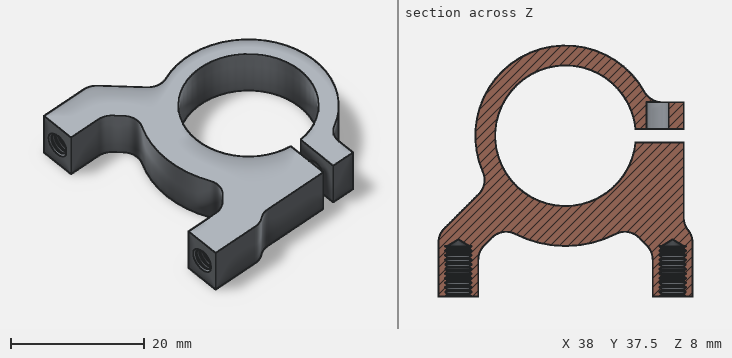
import cadquery as cq
import math

width = 38.0
thickness = 8.0
bore_radius = 10.5
ring_radius = 13.5
belly_radius = 16.5
foot_y = -24.0
leg_width = 6.0
blend_radius = 3.0
ear_end_x = 17.67
ear_top_y = 5.0
gap = 1.98

thread_minor = 3.3
thread_major = 4.0
thread_pitch = 0.7
thread_crest = thread_pitch / 4
thread_turns = 11
drill_tip_angle = 118.0

screw_diameter = 3.3
screw_x = 13.75

half_width = width / 2
half_leg = leg_width / 2
leg_inner_x = half_width - leg_width
leg_center_x = half_width - half_leg
mid_z = thickness / 2
strut_offset = half_leg * math.sqrt(2)
bend_length = blend_radius * math.tan(math.radians(22.5))


def polar(center, radius, angle):
    a = math.radians(angle)
    return (center[0] + radius * math.cos(a), center[1] + radius * math.sin(a))


def add_arc(path, center, radius, start, end):
    """Line to the start of an arc, then the arc itself; angles in degrees."""
    return path.lineTo(*polar(center, radius, start)).threePointArc(
        polar(center, radius, (start + end) / 2), polar(center, radius, end)
    )


def strut_blend(ring, offset):
    """Center of the blend between a left strut side and a concentric arc, and its polar angle."""
    reach = ring + blend_radius
    angle = 225 - math.degrees(math.asin(offset / reach))
    return polar((0, 0), reach, angle), angle


def body():
    origin = (0, 0)
    shoulder_y = -half_width + strut_offset - bend_length
    inner_bend_y = -leg_inner_x - strut_offset - bend_length
    shoulder = (-leg_center_x, shoulder_y)
    neck, neck_angle = strut_blend(ring_radius, half_leg + blend_radius)
    armpit, armpit_angle = strut_blend(belly_radius, -half_leg - blend_radius)

    ear_blend_y = ear_top_y + blend_radius
    ear_angle = math.degrees(math.asin(ear_blend_y / (ring_radius + blend_radius)))
    ear_blend = polar(origin, ring_radius + blend_radius, ear_angle)

    step = half_width - ear_end_x
    step_angle = math.degrees(math.acos(1 - step / (2 * blend_radius)))
    step_height = 2 * blend_radius * math.sin(math.radians(step_angle))
    step_hollow = (ear_end_x + blend_radius, shoulder_y + step_height)

    path = cq.Workplane("XY").moveTo(-half_width, foot_y)
    path = add_arc(path, shoulder, blend_radius, 180, 135)
    path = add_arc(path, neck, blend_radius, -45, neck_angle - 180)
    path = path.threePointArc(
        polar(origin, ring_radius, (neck_angle + ear_angle) / 2),
        polar(origin, ring_radius, ear_angle),
    )
    path = path.threePointArc(
        polar(ear_blend, blend_radius, (ear_angle + 450) / 2),
        (ear_blend[0], ear_top_y),
    )
    path = path.lineTo(ear_end_x, ear_top_y)
    path = path.lineTo(*polar(step_hollow, blend_radius, 180))
    path = path.threePointArc(
        polar(step_hollow, blend_radius, 180 + step_angle / 2),
        polar(step_hollow, blend_radius, 180 + step_angle),
    )
    path = path.threePointArc(
        polar((leg_center_x, shoulder_y), blend_radius, step_angle / 2),
        (half_width, shoulder_y),
    )
    path = path.lineTo(half_width, foot_y).lineTo(leg_inner_x, foot_y)

    inner_bend_x = leg_inner_x - blend_radius
    right_armpit = (-armpit[0], armpit[1])
    path = add_arc(path, (inner_bend_x, inner_bend_y), blend_radius, 0, 45)
    path = add_arc(path, right_armpit, blend_radius, 45, 360 - armpit_angle)
    path = path.threePointArc((0, -belly_radius), polar(origin, belly_radius, armpit_angle))
    path = path.threePointArc(
        polar(armpit, blend_radius, (armpit_angle - 45) / 2),
        polar(armpit, blend_radius, 135),
    )
    path = add_arc(path, (-inner_bend_x, inner_bend_y), blend_radius, 135, 180)
    return path.lineTo(-leg_inner_x, foot_y).close().extrude(thickness)


def threaded_hole(x):
    """Blind hole along Y from a foot, with annular thread grooves and a conical drill tip."""
    minor = thread_minor / 2
    major = thread_major / 2
    depth = thread_turns * thread_pitch
    tip = minor / math.tan(math.radians(drill_tip_angle / 2))
    profile = [(0, 0), (major, 0)]
    for turn in range(thread_turns):
        crest_y = (turn + 0.5) * thread_pitch
        profile.append((minor, crest_y - thread_crest / 2))
        profile.append((minor, crest_y + thread_crest / 2))
        profile.append((major, (turn + 1) * thread_pitch))
    profile += [(minor, depth), (0, depth + tip)]
    cutter = cq.Workplane("XY").polyline(profile).close()
    return cutter.revolve(360, (0, 0), (0, 1)).translate((x, foot_y, mid_z))


def clamp_cutters():
    bore = cq.Workplane("XY").circle(bore_radius).extrude(thickness)
    slit = cq.Workplane("XY").rect(ear_end_x, gap).extrude(thickness)
    return bore.union(slit.translate((ear_end_x / 2, 0, 0)))


def screw_hole():
    circle = cq.Workplane("XZ").center(screw_x, mid_z).circle(screw_diameter / 2)
    return circle.extrude(-ear_top_y)


result = body().cut(clamp_cutters()).cut(screw_hole())
for leg_x in (-leg_center_x, leg_center_x):
    result = result.cut(threaded_hole(leg_x))